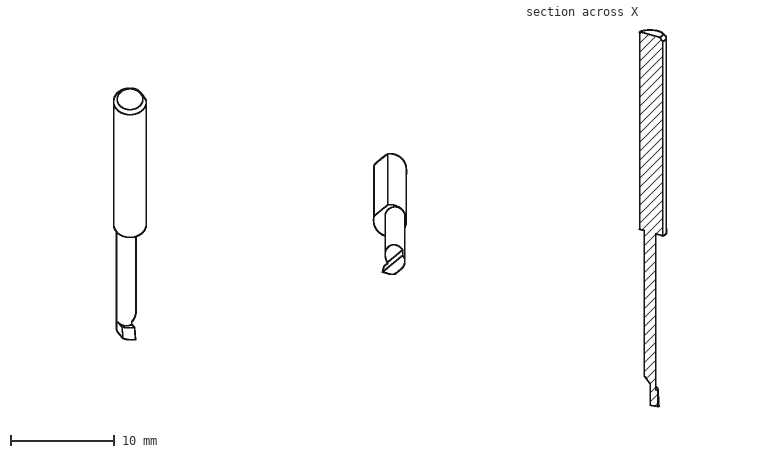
import cadquery as cq
import math


overall_length = 38.1
neck_length = 17.78

shank_diameter = 3.175
shank_radius = shank_diameter / 2
depth_across_flat = 2.92
flat_y = depth_across_flat - shank_radius
top_chamfer = 0.35

neck_radius = 0.96
neck_x = neck_radius - shank_radius

ramp_bottom_z = 2.24
ramp_top_z = 3.07

head_height = 1.83
cutting_point_x = 0.95
relief_edge_x = 0.55
relief_edge_y = -0.65
heel_x = 0.21
side_clearance_angle = 5

end_cutting_angle = 2.5
end_relief_angle = 5


def make_shank():
    """Round shank, chamfered at the top, with a full-length flat on +Y."""
    shank_length = overall_length - neck_length
    shank = (
        cq.Workplane("XY", origin=(0, 0, neck_length))
        .circle(shank_radius)
        .extrude(shank_length)
        .faces(">Z")
        .chamfer(top_chamfer)
    )
    flat_cutter = (
        cq.Workplane("XY", origin=(0, flat_y, neck_length))
        .rect(shank_diameter, shank_diameter)
        .extrude(shank_length)
        .translate((0, shank_radius, 0))
    )
    return shank.cut(flat_cutter)


def make_neck():
    """Offset round neck, cut back to the rake plane below the ramp."""
    neck = cq.Workplane("XY").center(neck_x, 0).circle(neck_radius).extrude(neck_length)
    rake_cutter = (
        cq.Workplane("YZ")
        .polyline([
            (0, 0),
            (0, ramp_bottom_z),
            (neck_radius, ramp_top_z),
            (shank_diameter, ramp_top_z),
            (shank_diameter, 0),
        ])
        .close()
        .extrude(shank_diameter, both=True)
    )
    return neck.cut(rake_cutter)


def head_section(x_shift):
    """Outline of the cutting head, with its cutting side moved along X."""
    return [
        (neck_x, 0),
        (neck_x, -neck_radius),
        (heel_x + x_shift, -neck_radius),
        (relief_edge_x + x_shift, relief_edge_y),
        (cutting_point_x + x_shift, 0),
    ]


def make_head():
    """Cutting head that leans back towards the neck as it rises."""
    lean = head_height * math.tan(math.radians(side_clearance_angle))
    return (
        cq.Workplane("XY")
        .polyline(head_section(0))
        .close()
        .workplane(offset=head_height)
        .polyline(head_section(-lean))
        .close()
        .loft(ruled=True)
    )


def make_end_cutter():
    """Block whose top face is the end face, tilted about the cutting point."""
    size = 4 * shank_diameter
    return (
        cq.Workplane("XY")
        .box(size, size, size, centered=(True, True, False))
        .translate((0, 0, -size))
        .rotate((0, 0, 0), (1, 0, 0), -end_relief_angle)
        .rotate((0, 0, 0), (0, 1, 0), end_cutting_angle)
        .translate((cutting_point_x, 0, 0))
    )


tip = make_neck().union(make_head()).cut(make_end_cutter())
result = make_shank().union(tip)